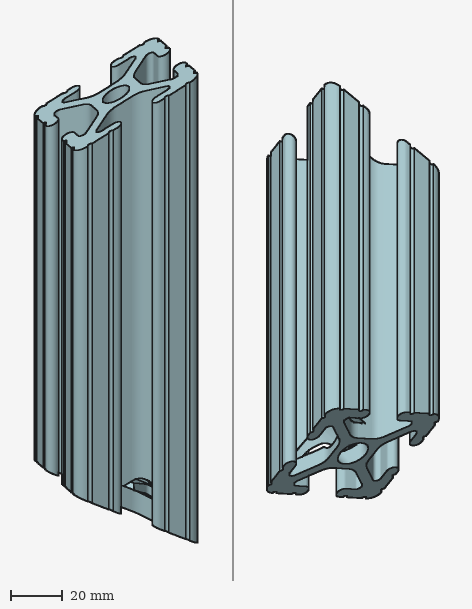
import cadquery as cq

LENGTH = 191.2
SIDE = 50.9
HALF_SIDE = SIDE / 2
CUT_RISE = SIDE / 2

CORNER_RADIUS = 4.4
CORE_BORE_DIAMETER = 10.3
CORE_HALF_WIDTH = 9.0
WEB_OFFSET = 3.0
FLOOR_FILLET = 6.7
POCKET_FILLET = 1.7
LIP_THICKNESS = 5.0
MOUTH_HALF_WIDTH = 6.5
GROOVE_RADIUS = 0.86
GROOVE_OFFSETS = (11.5, 20.0)

SCREW_HOLE_RADIUS = 6.3
SCREW_HOLE_FLARE = 2.7
SEAT_DEPTH = 8.0
ACCESS_RADIUS = 17.4
ACCESS_AXIS_HEIGHT = 5.2
ACCESS_REACH = 21.0


def slot_cutter():
    """T-slot on the +Y side: trapezoidal pocket, open mouth and round lip ends."""
    lip_inner = HALF_SIDE - LIP_THICKNESS
    floor_half = CORE_HALF_WIDTH - WEB_OFFSET
    pocket_half = lip_inner - WEB_OFFSET
    pocket = (
        cq.Workplane("XY")
        .polyline([
            (-floor_half, CORE_HALF_WIDTH),
            (floor_half, CORE_HALF_WIDTH),
            (pocket_half, lip_inner),
            (-pocket_half, lip_inner),
        ])
        .close()
        .extrude(LENGTH)
    )
    pocket = pocket.edges("|Z").edges("<Y").fillet(FLOOR_FILLET)
    pocket = pocket.edges("|Z").edges(">Y").fillet(POCKET_FILLET)

    lip_radius = LIP_THICKNESS / 2
    lip_center = MOUTH_HALF_WIDTH + lip_radius
    lip_middle = HALF_SIDE - lip_radius
    mouth = (
        cq.Workplane("XY")
        .moveTo(-lip_center, HALF_SIDE)
        .lineTo(lip_center, HALF_SIDE)
        .threePointArc((MOUTH_HALF_WIDTH, lip_middle), (lip_center, lip_inner))
        .lineTo(-lip_center, lip_inner)
        .threePointArc((-MOUTH_HALF_WIDTH, lip_middle), (-lip_center, HALF_SIDE))
        .close()
        .extrude(LENGTH)
    )
    return pocket.union(mouth)


def groove_cutter():
    """Shallow round grooves along the +Y side."""
    places = [(side * offset, HALF_SIDE) for side in (-1, 1) for offset in GROOVE_OFFSETS]
    return cq.Workplane("XY").pushPoints(places).circle(GROOVE_RADIUS).extrude(LENGTH)


def extrusion():
    bar = cq.Workplane("XY").rect(SIDE, SIDE).extrude(LENGTH)
    bar = bar.edges("|Z").fillet(CORNER_RADIUS)
    side_cutters = (slot_cutter(), groove_cutter())
    for quarter in range(4):
        for cutter in side_cutters:
            bar = bar.cut(cutter.rotate((0, 0, 0), (0, 0, 1), 90 * quarter))
    core_bore = cq.Workplane("XY").circle(CORE_BORE_DIAMETER / 2).extrude(LENGTH)
    return bar.cut(core_bore)


def mitred_envelope():
    """Trapezoid that is full length on the +Y side and shorter on the -Y side."""
    return (
        cq.Workplane("YZ")
        .polyline([
            (HALF_SIDE, 0),
            (HALF_SIDE, LENGTH),
            (-HALF_SIDE, LENGTH - CUT_RISE),
            (-HALF_SIDE, CUT_RISE),
        ])
        .close()
        .extrude(HALF_SIDE, both=True)
    )


def screw_seat():
    """Flared hole, seat parallel to the lower face and the slanted access bore above it."""
    mitre_plane = cq.Plane(
        origin=(0, 0, CUT_RISE / 2),
        xDir=(1, 0, 0),
        normal=(0, CUT_RISE, SIDE),
    )
    hole = (
        cq.Workplane(mitre_plane)
        .circle(SCREW_HOLE_RADIUS)
        .workplane(offset=SEAT_DEPTH)
        .circle(SCREW_HOLE_RADIUS + SCREW_HOLE_FLARE)
        .loft()
    )
    access_plane = cq.Plane(
        origin=(0, 0, ACCESS_AXIS_HEIGHT),
        xDir=(1, 0, 0),
        normal=(0, SIDE, CUT_RISE),
    )
    access = cq.Workplane(access_plane).circle(ACCESS_RADIUS).extrude(ACCESS_REACH, both=True)
    above_seat = (
        cq.Workplane(mitre_plane)
        .workplane(offset=SEAT_DEPTH)
        .rect(2 * SIDE, 2 * SIDE)
        .extrude(SIDE)
    )
    return hole.union(access.intersect(above_seat))


result = extrusion().intersect(mitred_envelope()).cut(screw_seat())